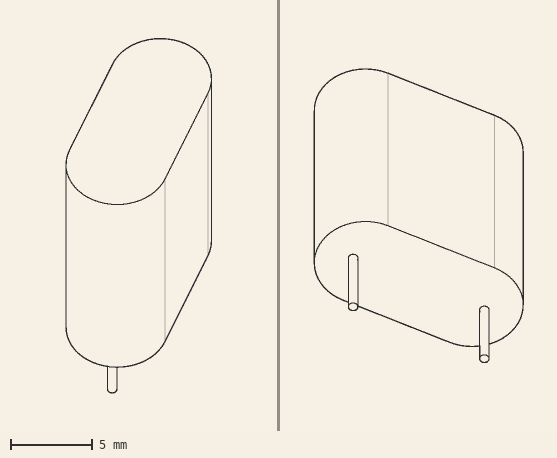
import cadquery as cq

CAN_WIDTH = 6.3
CAN_LENGTH = 13.6
TOTAL_HEIGHT = 21.1

LEAD_LENGTH = 5.1
LEAD_DIAMETER = 0.6
LEAD_PITCH = 8.99

can_height = TOTAL_HEIGHT - LEAD_LENGTH


def make_can():
    """Solid can with fully rounded ends, its flat bottom at Z = 0."""
    return (
        cq.Workplane("XY")
        .slot2D(CAN_LENGTH, CAN_WIDTH, angle=90)
        .extrude(can_height)
    )


def make_lead(y_position):
    """Round lead hanging from the bottom of the can."""
    return (
        cq.Workplane("XY")
        .center(0, y_position)
        .circle(LEAD_DIAMETER / 2)
        .extrude(-LEAD_LENGTH)
    )


can = make_can()
leads = [make_lead(side * LEAD_PITCH / 2) for side in (-1, 1)]

result = cq.Compound.makeCompound([can.val(), *[lead.val() for lead in leads]])